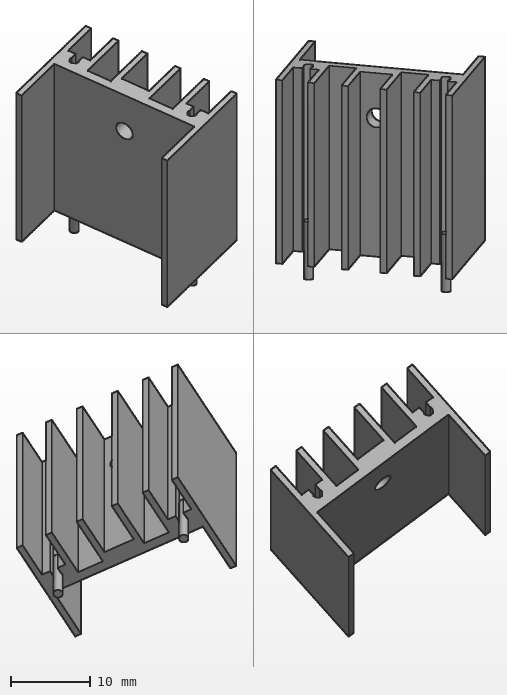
import cadquery as cq

WIDTH = 23.1
DEPTH = 15.6
TOTAL_HEIGHT = 28.4
PIN_PROJECTION = 3.85
SINK_HEIGHT = TOTAL_HEIGHT - PIN_PROJECTION

WALL = 0.85
FIN_TIP_Y = 8.26
WALL_FRONT_Y = FIN_TIP_Y - DEPTH
OUTER_FIN_X = 6.93
INNER_FIN_X = 2.53
THIN_WEB = 1.28
CENTRE_WEB = 2.45
SHELF_WEB = 3.1

PIN_DIAMETER = 1.2
THROAT_WIDTH = 1.08
PIN_X = 9.0
PIN_Y = 1.95
PIN_INSERTION = PIN_PROJECTION

HOLE_DIAMETER = 2.53
HOLE_BELOW_TOP = 6.0

SIDES = (-1, 1)


def sink_block(x_center, width, y_min, y_max):
    """Full-height rectangular part of the extruded profile."""
    return (
        cq.Workplane("XY")
        .center(x_center, (y_min + y_max) / 2)
        .rect(width, y_max - y_min)
        .extrude(SINK_HEIGHT)
    )


def pin_slot(x_center):
    """Full-height round channel with a narrower throat that opens onto the shelf."""
    channel = (
        cq.Workplane("XY")
        .center(x_center, PIN_Y)
        .circle(PIN_DIAMETER / 2)
        .extrude(SINK_HEIGHT)
    )
    return channel.union(sink_block(x_center, THROAT_WIDTH, PIN_Y, SHELF_WEB))


def mounting_hole():
    """Cylinder along Y, passing through the centre web."""
    return (
        cq.Workplane("XZ")
        .center(0, SINK_HEIGHT - HOLE_BELOW_TOP)
        .circle(HOLE_DIAMETER / 2)
        .extrude(-CENTRE_WEB)
    )


def make_heat_sink():
    """Finned plate with two side walls, pin slots and a mounting hole."""
    sink = sink_block(0, WIDTH, 0, THIN_WEB)
    sink = sink.union(sink_block(0, 2 * INNER_FIN_X, 0, CENTRE_WEB))

    shelf_width = WIDTH / 2 - OUTER_FIN_X
    shelf_x = OUTER_FIN_X + shelf_width / 2
    wall_x = (WIDTH - WALL) / 2
    for side in SIDES:
        sink = sink.union(sink_block(side * shelf_x, shelf_width, 0, SHELF_WEB))
        sink = sink.union(sink_block(side * wall_x, WALL, WALL_FRONT_Y, FIN_TIP_Y))
        for fin_x in (INNER_FIN_X, OUTER_FIN_X):
            sink = sink.union(sink_block(side * fin_x, WALL, 0, FIN_TIP_Y))

    for side in SIDES:
        sink = sink.cut(pin_slot(side * PIN_X))
    return sink.cut(mounting_hole())


def make_pin(x_center):
    """Round pin held in the lower end of a slot."""
    return (
        cq.Workplane("XY")
        .workplane(offset=-PIN_PROJECTION)
        .center(x_center, PIN_Y)
        .circle(PIN_DIAMETER / 2)
        .extrude(PIN_PROJECTION + PIN_INSERTION)
    )


heat_sink = make_heat_sink()
pins = [make_pin(side * PIN_X) for side in SIDES]

result = cq.Compound.makeCompound([heat_sink.val(), *[pin.val() for pin in pins]])